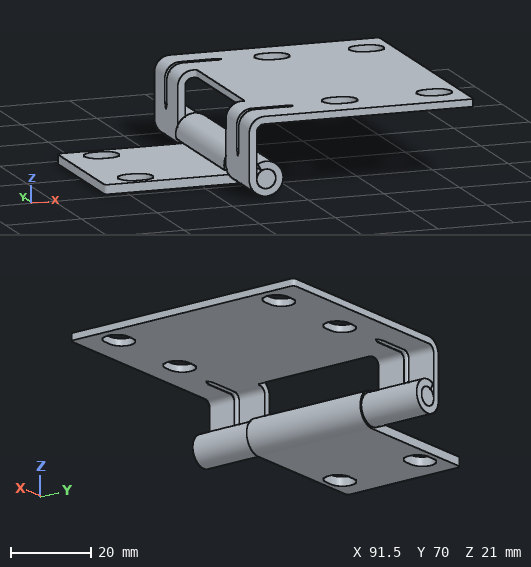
import cadquery as cq
import math


total_x = 91.5
total_y = 70.0
total_z = 21.0

pin_radius = 2.5
pin_x = 36.5

small_thickness = 2.5
small_width = 35.5
small_curl_radius = pin_radius + small_thickness
small_curl_end_angle = 195.0
pin_z = small_curl_radius

large_thickness = 2.0
large_curl_radius = pin_radius + large_thickness
large_curl_end_angle = 120.0
bend_outer_radius = 4.0
bend_inner_radius = bend_outer_radius - large_thickness
wall_outer_x = pin_x - large_curl_radius
wall_inner_x = wall_outer_x + large_thickness
bend_x = wall_outer_x + bend_outer_radius
bend_z = total_z - bend_outer_radius

window_depth = 5.0
window_corner_radius = 0.7

corner_radius = 1.0

slot_length = 9.0
slot_width = 7.0
slot_edge_distance = 7.0
large_slot_pitch_x = 25.0
large_slot_pitch_y = 50.0
small_slot_x = 10.0
small_slot_pitch_y = 25.0

bead_pitch_y = 53.0
bead_width = 1.5
bead_depth = 0.5
bead_radius = ((bead_width / 2) ** 2 + bead_depth ** 2) / (2 * bead_depth)
bead_offset = bead_radius - bead_depth
bead_end_x = 45.0
bead_end_z = 11.0
bead_tip_length = 1.6


def pin_point(radius, angle):
    """Point in the XZ plane at a polar position around the pin axis."""
    a = math.radians(angle)
    return (pin_x + radius * math.cos(a), pin_z + radius * math.sin(a))


def bend_middle(radius):
    """Point halfway round the large leaf's quarter bend, at a given radius."""
    diagonal = radius * math.sqrt(0.5)
    return (bend_x - diagonal, bend_z + diagonal)


def along_y(profile, length):
    """Extrude an XZ profile along Y, centred on Y = 0."""
    return profile.extrude(length / 2, both=True)


def slots(centres):
    """Cutters for mounting slots, long along X, through the full height."""
    return cq.Workplane("XY").pushPoints(centres).slot2D(slot_length, slot_width).extrude(total_z)


def pin():
    return along_y(cq.Workplane("XZ").center(pin_x, pin_z).circle(pin_radius), total_y)


def small_leaf():
    """Small leaf with its central knuckle and the pin fixed in it."""
    end = small_curl_end_angle
    middle = (end - 90) / 2
    profile = (
        cq.Workplane("XZ")
        .moveTo(0, 0)
        .lineTo(pin_x, 0)
        .threePointArc(pin_point(small_curl_radius, middle), pin_point(small_curl_radius, end))
        .lineTo(*pin_point(pin_radius, end))
        .threePointArc(pin_point(pin_radius, middle), pin_point(pin_radius, -90))
        .lineTo(0, small_thickness)
        .close()
    )
    leaf = along_y(profile, small_width).edges("|Z and <X").fillet(corner_radius)
    leaf = leaf.cut(slots([(small_slot_x, side * small_slot_pitch_y / 2) for side in (-1, 1)]))
    return leaf.union(pin())


def bead(bend_radius, y):
    """Round bar that follows the bend at the given radius, with a tapered tip at each end."""
    wall_x = bend_x - bend_radius
    top_z = bend_z + bend_radius
    path = (
        cq.Workplane("XZ", origin=(0, y, 0))
        .moveTo(wall_x, bead_end_z)
        .lineTo(wall_x, bend_z)
        .threePointArc(bend_middle(bend_radius), (bend_x, top_z))
        .lineTo(bead_end_x, top_z)
    )
    bar = cq.Workplane("XY", origin=(wall_x, y, bead_end_z)).circle(bead_radius).sweep(path)
    tips = [
        ((wall_x, y, bead_end_z), (0, 0, -1)),
        ((bead_end_x, y, top_z), (1, 0, 0)),
    ]
    for point, direction in tips:
        cone = cq.Solid.makeCone(
            bead_radius, bead_offset, bead_tip_length, cq.Vector(*point), cq.Vector(*direction)
        )
        bar = bar.union(cq.Workplane(cone))
    return bar


def large_leaf_sheet():
    """Bent and rolled sheet of the large leaf at full width."""
    end = large_curl_end_angle
    middle = (180 + 360 + end) / 2
    profile = (
        cq.Workplane("XZ")
        .moveTo(total_x, total_z)
        .lineTo(bend_x, total_z)
        .threePointArc(bend_middle(bend_outer_radius), (wall_outer_x, bend_z))
        .lineTo(wall_outer_x, pin_z)
        .threePointArc(pin_point(large_curl_radius, middle), pin_point(large_curl_radius, end))
        .lineTo(*pin_point(pin_radius, end))
        .threePointArc(pin_point(pin_radius, middle), (wall_inner_x, pin_z))
        .lineTo(wall_inner_x, bend_z)
        .threePointArc(bend_middle(bend_inner_radius), (bend_x, total_z - large_thickness))
        .lineTo(total_x, total_z - large_thickness)
        .close()
    )
    return along_y(profile, total_y).edges("|Z and >X").fillet(corner_radius)


def window():
    """Cutters that clear the space between the outer knuckles."""
    plate_end = wall_outer_x + window_depth
    upper = (
        cq.Workplane("XY", origin=(0, 0, pin_z + large_curl_radius))
        .center(plate_end / 2, 0)
        .rect(plate_end, small_width)
        .extrude(total_z)
        .edges("|Z and >X")
        .fillet(window_corner_radius)
    )
    knuckle_gap = cq.Workplane("XY").center(total_x / 2, 0).rect(total_x, small_width)
    return upper.union(knuckle_gap.extrude(pin_z + large_curl_radius))


def large_leaf():
    """Large leaf with its window, slots and stiffening beads."""
    leaf = large_leaf_sheet().cut(window())
    last_slot_x = total_x - slot_edge_distance
    centres = [
        (x, side * large_slot_pitch_y / 2)
        for x in (last_slot_x - large_slot_pitch_x, last_slot_x)
        for side in (-1, 1)
    ]
    leaf = leaf.cut(slots(centres).translate((0, 0, bend_z)))
    for side in (-1, 1):
        y = side * bead_pitch_y / 2
        leaf = leaf.union(bead(bend_inner_radius + bead_offset, y))
        leaf = leaf.cut(bead(bend_outer_radius + bead_offset, y))
    return leaf


small = small_leaf()
large = large_leaf()

result = cq.Compound.makeCompound([small.val(), large.val()])